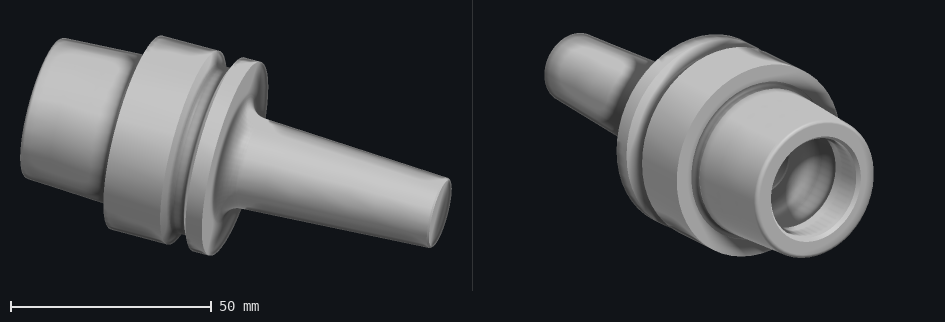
import cadquery as cq
import math

length = 104.9

nose_front_radius = 18.1
nose_back_radius = 19.3
nose_back = 22.8
nose_edge_radius = 1.0

neck_radius = 19.0
neck_start = 23.5
recess_radius = 20.6
recess_depth = 0.6
recess_fillet = 0.9

collar_radius = 25.02
collar_front = 24.7
collar_back = 50.7
groove_start = 39.7
groove_end = 46.4
groove_bottom_radius = 21.6
groove_flank = 1.8
groove_fillet = 1.0

shank_start = 55.3
shank_start_radius = 11.6
shank_end_radius = 9.0
shank_chamfer = 0.4

mouth_radius = 13.7
mouth_depth = 0.9
bore_radius = 13.0
bore_depth = 9.9
cavity_radius = 15.3
cavity_lead_angle = 60.0
cavity_depth = 23.1
cavity_fillet = 3.7
pocket_radius = 8.2
pocket_chamfer = 0.3
pocket_depth = 6.3
pocket_end_radius = 7.0


def turn(outline):
    """Revolve a closed (x, radius) outline about the X axis."""
    return outline.close().revolve(360, (0, 0, 0), (1, 0, 0))


def turned_polygon(points):
    return turn(cq.Workplane("XY").polyline(points))


def make_nose():
    nose = turned_polygon([
        (0, 0),
        (0, nose_front_radius),
        (nose_back, nose_back_radius),
        (neck_start, neck_radius),
        (neck_start, 0),
    ])
    return nose.faces("<X").edges().fillet(nose_edge_radius)


def make_neck():
    """Neck joined to the recess floor by a concave quarter round."""
    floor = collar_front + recess_depth
    sweep = recess_fillet * math.sqrt(0.5)
    return turn(
        cq.Workplane("XY")
        .moveTo(neck_start, 0)
        .lineTo(neck_start, neck_radius)
        .lineTo(floor - recess_fillet, neck_radius)
        .threePointArc(
            (floor - recess_fillet + sweep, neck_radius + recess_fillet - sweep),
            (floor, neck_radius + recess_fillet),
        )
        .lineTo(floor, 0)
    )


def make_collar():
    collar = turned_polygon([
        (collar_front, 0),
        (collar_front, collar_radius),
        (collar_back, collar_radius),
        (collar_back, 0),
    ])
    recess = turned_polygon([
        (collar_front, 0),
        (collar_front, recess_radius),
        (collar_front + recess_depth, recess_radius),
        (collar_front + recess_depth, 0),
    ])
    groove = turned_polygon([
        (groove_start, collar_radius),
        (groove_start + groove_flank, groove_bottom_radius),
        (groove_end - groove_flank, groove_bottom_radius),
        (groove_end, collar_radius),
    ])
    groove = groove.edges(cq.selectors.RadiusNthSelector(0)).fillet(groove_fillet)
    return collar.cut(recess).cut(groove)


def make_shank():
    """Shank with a root arc tangent to the collar face and to the taper."""
    taper = math.atan((shank_start_radius - shank_end_radius) / (length - shank_start))
    root_radius = (shank_start - collar_back) / (1 - math.sin(taper))
    center_x = collar_back + root_radius
    center_r = shank_start_radius + root_radius * math.cos(taper)
    mid_angle = (math.pi / 2 - taper) / 2
    arc_middle = (
        center_x - root_radius * math.cos(mid_angle),
        center_r - root_radius * math.sin(mid_angle),
    )
    shank = turn(
        cq.Workplane("XY")
        .moveTo(collar_back, 0)
        .lineTo(collar_back, center_r)
        .threePointArc(arc_middle, (shank_start, shank_start_radius))
        .lineTo(length, shank_end_radius)
        .lineTo(length, 0)
    )
    return shank.faces(">X").edges().chamfer(shank_chamfer)


def make_bore():
    """Mouth and bore, wider rounded cavity, and a blind pocket in its floor."""
    lead = (cavity_radius - bore_radius) / math.tan(math.radians(cavity_lead_angle))
    entry = turned_polygon([
        (0, 0),
        (0, mouth_radius),
        (mouth_depth, bore_radius),
        (bore_depth, bore_radius),
        (bore_depth + lead, cavity_radius),
        (cavity_depth, cavity_radius),
        (cavity_depth, 0),
    ])
    entry = entry.faces(">X").edges().fillet(cavity_fillet)
    pocket_end = cavity_depth + pocket_depth
    pocket = turned_polygon([
        (cavity_depth, 0),
        (cavity_depth, pocket_radius + pocket_chamfer),
        (cavity_depth + pocket_chamfer, pocket_radius),
        (pocket_end - (pocket_radius - pocket_end_radius), pocket_radius),
        (pocket_end, pocket_end_radius),
        (pocket_end, 0),
    ])
    return entry.union(pocket)


body = make_nose().union(make_neck()).union(make_collar()).union(make_shank())
result = body.cut(make_bore())